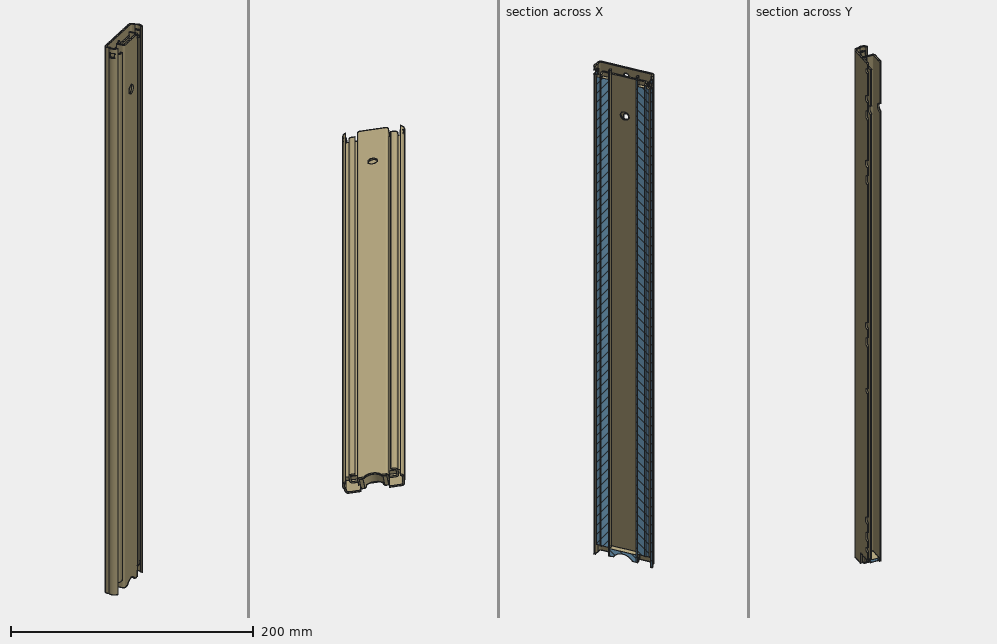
import cadquery as cq

SHEET = 1.5
BACK_X = -6.5
FRONT_X = 6.5
LIP_X = 5.5

OUTER_LENGTH = 500.0
OUTER_TOP = OUTER_LENGTH / 2
OUTER_BOTTOM = -OUTER_TOP
FLANGE_HALF = 25.0
RACE_HALF = 26.0
RACE_X = 1.0
RACE_RADIUS = 5.0
BACK_ROUND = 3.0
OUTER_LIP_HALF = 23.0

MIDDLE_TOP = 243.0
MIDDLE_BOTTOM = -240.5
MIDDLE_BACK_X = -3.5
MIDDLE_HALF = 20.5
MIDDLE_LIP_HALF = 15.0
MIDDLE_ROUND = 2.5

INNER_TOP = 248.5
INNER_BOTTOM = -INNER_TOP
INNER_BACK_X = -1.0
INNER_HALF = 13.0
INNER_ROUND = 2.0

RETAINER_BACK_X = -0.5
RETAINER_FRONT_X = 3.0
RETAINER_TOP = 240.0
RETAINER_BOTTOM = -RETAINER_TOP

MOUNT_HOLE_DEPTHS = (35.0, 99.0, 259.0, 451.0)
MOUNT_HOLE_DIAMETER = 6.5
SLOT_DROP = 16.0
SLOT_LENGTH = 8.5
SLOT_WIDTH = 4.5
SMALL_HOLE_DEPTHS = (7.5, 323.0, 480.0)
SMALL_HOLE_DIAMETER = 4.5
ACCESS_HOLE_Z = 203.0
ACCESS_HOLE_DIAMETER = 8.0

DIMPLE_TOP = 246.0
DIMPLE_BOTTOM = 241.5
DIMPLE_BACK_X = -1.0
DIMPLE_FRONT_X = 3.5
DIMPLE_OUTSIDE_HALF = 24.0
DIMPLE_INSIDE_HALF = 22.5

NOTCH_HALF = 12.0
NOTCH_TOP = -240.0
BUMPER_HALF = INNER_HALF - SHEET
BUMPER_BACK_X = BACK_X + SHEET
BUMPER_FRONT_X = FRONT_X - INNER_ROUND
BEVEL_BOTTOM = -243.0
RECESS_DEPTH = 1.5
RECESS_HALF = 7.0
ARCH_CENTER_Z = -253.0
INNER_ARCH_RADIUS = 8.5
BUMPER_ARCH_RADIUS = 9.5


def bar(back_x, front_x, half_y, bottom, top):
    """Plain bar, symmetric about the XZ plane."""
    return cq.Workplane("XY").box(
        front_x - back_x, 2 * half_y, top - bottom, centered=(False, True, False)
    ).translate((back_x, 0, bottom))


def rounded_bar(back_x, front_x, half_y, bottom, top, back_round, front_round):
    """Bar whose lengthwise edges are rounded; a zero radius leaves them sharp."""
    body = bar(back_x, front_x, half_y, bottom, top)
    if back_round > 0:
        body = body.edges("|Z and <X").fillet(back_round)
    if front_round > 0:
        body = body.edges("|Z and >X").fillet(front_round)
    return body


def round_hole(diameter, z):
    """Cutter for a round hole along X through every web."""
    return (
        cq.Workplane("YZ").center(0, z).circle(diameter / 2)
        .extrude(FRONT_X - BACK_X).translate((BACK_X, 0, 0))
    )


def slot_hole(z):
    """Cutter for an upright slot along X through every web."""
    return (
        cq.Workplane("YZ").center(0, z).slot2D(SLOT_LENGTH, SLOT_WIDTH, 90)
        .extrude(FRONT_X - BACK_X).translate((BACK_X, 0, 0))
    )


def outer_envelope(inset):
    """Outer rail's filled section, drawn in by the given inset."""
    envelope = rounded_bar(
        BACK_X + inset, RACE_X, FLANGE_HALF - inset,
        OUTER_BOTTOM, OUTER_TOP, BACK_ROUND - inset, 0,
    )
    for side in (-1, 1):
        race_y = side * (RACE_HALF - RACE_RADIUS)
        race = (
            cq.Workplane("XY", origin=(RACE_X, race_y, OUTER_BOTTOM))
            .circle(RACE_RADIUS - inset).extrude(OUTER_LENGTH)
        )
        envelope = envelope.union(race)
    return envelope


def side_block(back_x, front_x, inside_y, outside_y, bottom, top, side):
    """Block spanning the given distances from the XZ plane, on the +Y or -Y side."""
    block = cq.Workplane("XY").box(
        front_x - back_x, outside_y - inside_y, top - bottom, centered=(False, True, False)
    )
    return block.translate((back_x, side * (inside_y + outside_y) / 2, bottom))


def make_outer_rail():
    rail = outer_envelope(0).cut(outer_envelope(SHEET))
    rail = rail.cut(bar(0, FRONT_X, OUTER_LIP_HALF, OUTER_BOTTOM, OUTER_TOP))

    for depth in MOUNT_HOLE_DEPTHS:
        hole_z = OUTER_TOP - depth
        rail = rail.cut(round_hole(MOUNT_HOLE_DIAMETER, hole_z))
        rail = rail.cut(slot_hole(hole_z - SLOT_DROP))
    for depth in SMALL_HOLE_DEPTHS:
        rail = rail.cut(round_hole(SMALL_HOLE_DIAMETER, OUTER_TOP - depth))

    rail = rail.cut(bar(BACK_X, BACK_X + SHEET, NOTCH_HALF, OUTER_BOTTOM, NOTCH_TOP))

    for side in (-1, 1):
        bump = side_block(
            DIMPLE_BACK_X, DIMPLE_FRONT_X, DIMPLE_INSIDE_HALF, FLANGE_HALF,
            DIMPLE_BOTTOM, DIMPLE_TOP, side,
        )
        hollow = side_block(
            DIMPLE_BACK_X, DIMPLE_FRONT_X, DIMPLE_OUTSIDE_HALF, RACE_HALF,
            DIMPLE_BOTTOM, DIMPLE_TOP, side,
        )
        rail = rail.union(bump).cut(hollow)
    return rail


def make_middle_rail():
    outside = rounded_bar(
        MIDDLE_BACK_X, LIP_X, MIDDLE_HALF, MIDDLE_BOTTOM, MIDDLE_TOP, MIDDLE_ROUND, MIDDLE_ROUND
    )
    cavity = rounded_bar(
        MIDDLE_BACK_X + SHEET, LIP_X - SHEET, MIDDLE_HALF - SHEET, MIDDLE_BOTTOM, MIDDLE_TOP,
        MIDDLE_ROUND - SHEET, MIDDLE_ROUND - SHEET,
    )
    opening = bar(0, LIP_X, MIDDLE_LIP_HALF, MIDDLE_BOTTOM, MIDDLE_TOP)
    rail = outside.cut(cavity).cut(opening)
    return rail.cut(round_hole(ACCESS_HOLE_DIAMETER, ACCESS_HOLE_Z))


def make_inner_rail():
    """Channel that opens back toward the middle rail, its web forming the front face."""
    outside = rounded_bar(
        INNER_BACK_X, FRONT_X, INNER_HALF, INNER_BOTTOM, INNER_TOP, 0, INNER_ROUND
    )
    cavity = rounded_bar(
        INNER_BACK_X, FRONT_X - SHEET, INNER_HALF - SHEET, INNER_BOTTOM, INNER_TOP,
        0, INNER_ROUND - SHEET,
    )
    rail = outside.cut(cavity)
    rail = rail.cut(round_hole(ACCESS_HOLE_DIAMETER, ACCESS_HOLE_Z))
    return rail.cut(round_hole(2 * INNER_ARCH_RADIUS, ARCH_CENTER_Z))


def make_retainer(inside_y, outside_y, side):
    """Strip filling one ball track between two flanges, on the +Y or -Y side."""
    return side_block(
        RETAINER_BACK_X, RETAINER_FRONT_X, inside_y, outside_y, RETAINER_BOTTOM, RETAINER_TOP, side
    )


def make_bumper():
    """Stop block between the outer and inner webs, below the end of the middle rail."""
    block = bar(BUMPER_BACK_X, BUMPER_FRONT_X, BUMPER_HALF, INNER_BOTTOM, MIDDLE_BOTTOM)
    recess_floor_x = BUMPER_BACK_X + RECESS_DEPTH
    recess = (
        cq.Workplane("XZ")
        .polyline([
            (BUMPER_BACK_X, MIDDLE_BOTTOM),
            (recess_floor_x, BEVEL_BOTTOM),
            (recess_floor_x, INNER_BOTTOM),
            (BUMPER_BACK_X, INNER_BOTTOM),
        ])
        .close().extrude(RECESS_HALF, both=True)
    )
    return block.cut(recess).cut(round_hole(2 * BUMPER_ARCH_RADIUS, ARCH_CENTER_Z))


outer_rail = make_outer_rail()
middle_rail = make_middle_rail()
inner_rail = make_inner_rail()
bumper = make_bumper()

retainers = []
for track in (
    (MIDDLE_HALF, FLANGE_HALF - SHEET),
    (INNER_HALF, MIDDLE_HALF - SHEET),
):
    for side in (-1, 1):
        retainers.append(make_retainer(*track, side).val())

result = cq.Compound.makeCompound(
    [outer_rail.val(), middle_rail.val(), inner_rail.val(), bumper.val(), *retainers]
)